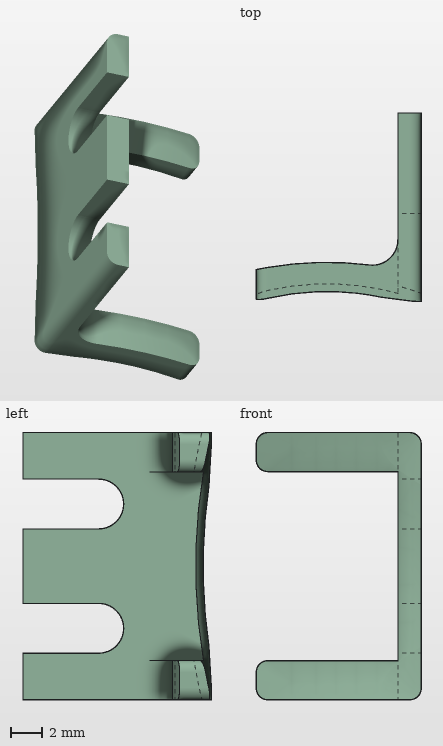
import cadquery as cq
import math

LENGTH_X = 10.5
DEPTH_Y = 12.0
HEIGHT_Z = 17.0
HALF_HEIGHT = HEIGHT_Z / 2

PLATE_THICKNESS = 1.5
ARM_HEIGHT = 2.5
ARM_INNER_Z = HALF_HEIGHT - ARM_HEIGHT
ARM_CREST_X = -6.0
ARM_BACK_CREST_Y = -9.5
ARM_BACK_RADIUS = 22.0
ROOT_FILLET = 1.6
EDGE_FILLET = 0.75

SLOT_WIDTH = 3.15
SLOT_DEPTH = 6.4
SLOT_OFFSET_Z = 3.95

FRONT_CREST_Y = -10.38
FRONT_RADIUS_X = 17.1
FRONT_RADIUS_Z = 37.0
FRONT_CUT_HALF_WIDTH = 9.0
FRONT_CUT_ANGLE = 40.0

CONE_APEX = (0.377, -12.164, 8.719)
CONE_AXIS = (-0.353, -1.0, -0.279)
CONE_HALF_ANGLE = 78.28
CONE_LENGTH = 2.0
RELIEF_ZONE_RADIUS = 4.0
RELIEF_ZONE_DEPTH = 3.0

OVERCUT = 1.0


def arc_y(x, crest_y, radius):
    """Y at a given X on an arc whose crest lies at ARM_CREST_X."""
    return crest_y - radius + math.sqrt(radius**2 - (x - ARM_CREST_X) ** 2)


def arm_back_y(x):
    """Y of the arms' rear arc at a given X."""
    return arc_y(x, ARM_BACK_CREST_Y, ARM_BACK_RADIUS)


def make_blank():
    """L-shaped profile with a filleted root, over the full height."""
    inner_x = -PLATE_THICKNESS
    blank = (
        cq.Workplane("XY", origin=(0, 0, -HALF_HEIGHT))
        .moveTo(0, 0)
        .lineTo(inner_x, 0)
        .lineTo(inner_x, arm_back_y(inner_x))
        .threePointArc((ARM_CREST_X, ARM_BACK_CREST_Y), (-LENGTH_X, arm_back_y(-LENGTH_X)))
        .lineTo(-LENGTH_X, -DEPTH_Y)
        .lineTo(0, -DEPTH_Y)
        .close()
        .extrude(HEIGHT_Z)
    )
    root = cq.selectors.NearestToPointSelector((inner_x, arm_back_y(inner_x), 0))
    return blank.edges(root).fillet(ROOT_FILLET)


def cut_arm_gap(body):
    """Open the space between the arms, up to the plate's inner face."""
    gap = cq.Workplane("XY").box(LENGTH_X, DEPTH_Y + 2 * OVERCUT, 2 * ARM_INNER_Z)
    return body.cut(gap.translate((-PLATE_THICKNESS - LENGTH_X / 2, -DEPTH_Y / 2, 0)))


def round_edges(body):
    """Round the arm tips and the plate's long outer edges."""
    body = body.faces("<X").edges("|Y").fillet(EDGE_FILLET)
    return body.faces(">X").edges("|Y").fillet(EDGE_FILLET)


def make_slot(center_z):
    """Round-ended slot through the plate, open at its back edge."""
    radius = SLOT_WIDTH / 2
    end_center_y = -SLOT_DEPTH + radius
    return (
        cq.Workplane("YZ", origin=(-PLATE_THICKNESS - OVERCUT, 0, 0))
        .moveTo(OVERCUT, center_z - radius)
        .lineTo(end_center_y, center_z - radius)
        .threePointArc((-SLOT_DEPTH, center_z), (end_center_y, center_z + radius))
        .lineTo(OVERCUT, center_z + radius)
        .close()
        .extrude(PLATE_THICKNESS + 2 * OVERCUT)
    )


def make_front_cutter():
    """Barrel sector: an arc across X, revolved about an axis parallel to X."""
    axis_y = FRONT_CREST_Y - FRONT_RADIUS_Z
    left = ARM_CREST_X - FRONT_CUT_HALF_WIDTH
    right = ARM_CREST_X + FRONT_CUT_HALF_WIDTH
    side_y = arc_y(right, FRONT_CREST_Y, FRONT_RADIUS_X)
    base_y = side_y - OVERCUT
    sector = (
        cq.Workplane("XY")
        .moveTo(left, base_y)
        .lineTo(left, side_y)
        .threePointArc((ARM_CREST_X, FRONT_CREST_Y), (right, side_y))
        .lineTo(right, base_y)
        .close()
        .revolve(FRONT_CUT_ANGLE, (0, axis_y, 0), (1, axis_y, 0))
    )
    return sector.rotate((0, axis_y, 0), (1, axis_y, 0), -FRONT_CUT_ANGLE / 2)


def make_corner_cutter():
    """Tilted blunt cone, kept only within a round zone at the upper corner."""
    cone_radius = CONE_LENGTH * math.tan(math.radians(CONE_HALF_ANGLE))
    cone = cq.Solid.makeCone(0, cone_radius, CONE_LENGTH, cq.Vector(CONE_APEX), cq.Vector(CONE_AXIS))
    zone = cq.Solid.makeCylinder(
        RELIEF_ZONE_RADIUS,
        RELIEF_ZONE_DEPTH,
        cq.Vector(0, -DEPTH_Y - RELIEF_ZONE_DEPTH / 2, HALF_HEIGHT),
        cq.Vector(0, 1, 0),
    )
    return cq.Workplane(zone.intersect(cone))


result = round_edges(cut_arm_gap(make_blank()))
for slot_z in (-SLOT_OFFSET_Z, SLOT_OFFSET_Z):
    result = result.cut(make_slot(slot_z))
result = result.cut(make_front_cutter())
corner_cutter = make_corner_cutter()
result = result.cut(corner_cutter).cut(corner_cutter.mirror("XY"))